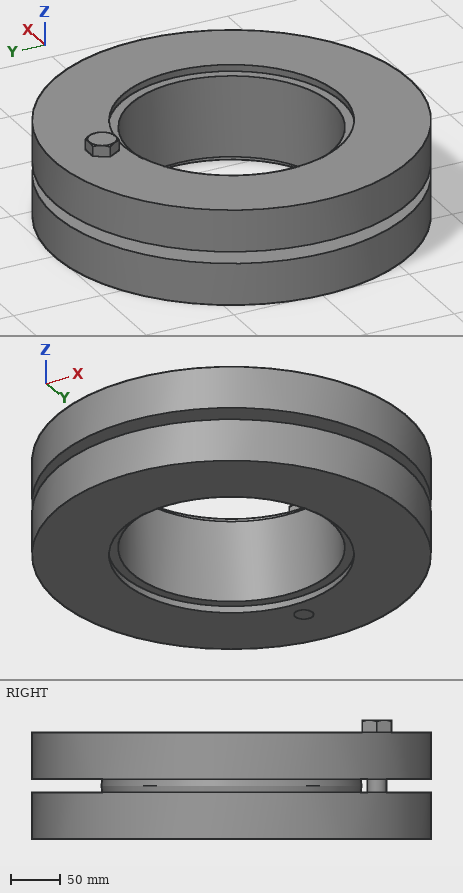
import cadquery as cq
import math

FLANGE_DIAMETER = 405.0
FLANGE_THICKNESS = 47.5
FLANGE_GAP = 13.5

RING_BORE_DIAMETER = 230.0
RING_MAX_DIAMETER = 264.5
RING_RECESS = 8.0
BORE_MOUTH_DIAMETER = 248.5

BOLT_OFFSET = 147.5
SHANK_DIAMETER = 20.0
HEAD_ACROSS_FLATS = 30.0
HEAD_HEIGHT = 12.5
HEAD_TOP_DIAMETER = HEAD_ACROSS_FLATS
HEAD_CHAMFER_ANGLE = 30.0

STACK_HEIGHT = 2 * FLANGE_THICKNESS + FLANGE_GAP
MID_HEIGHT = STACK_HEIGHT / 2
UPPER_FLANGE_BASE = FLANGE_THICKNESS + FLANGE_GAP
CONE_SLOPE = (RING_MAX_DIAMETER - BORE_MOUTH_DIAMETER) / 2 / MID_HEIGHT


def cone_radius(z):
    """Radius of the double seating cone at height z."""
    return RING_MAX_DIAMETER / 2 - CONE_SLOPE * abs(z - MID_HEIGHT)


def revolve_profile(points):
    """Turn a closed radius-height outline about the Z axis."""
    return cq.Workplane("XZ").polyline(points).close().revolve(360, (0, 0, 0), (0, 1, 0))


def make_shank():
    """Bolt shank, running through both flanges."""
    return cq.Workplane("XY").center(0, BOLT_OFFSET).circle(SHANK_DIAMETER / 2).extrude(STACK_HEIGHT)


def make_flange(base):
    """Flange with a conical bore and a hole that fits the bolt shank."""
    top = base + FLANGE_THICKNESS
    outer_radius = FLANGE_DIAMETER / 2
    disc = revolve_profile([
        (cone_radius(base), base),
        (outer_radius, base),
        (outer_radius, top),
        (cone_radius(top), top),
    ])
    return disc.cut(make_shank())


def make_seal_ring():
    """Ring with a straight bore and two outer cones that meet at mid height."""
    bottom = RING_RECESS
    top = STACK_HEIGHT - RING_RECESS
    bore_radius = RING_BORE_DIAMETER / 2
    return revolve_profile([
        (bore_radius, bottom),
        (cone_radius(bottom), bottom),
        (cone_radius(MID_HEIGHT), MID_HEIGHT),
        (cone_radius(top), top),
        (bore_radius, top),
    ])


def make_bolt():
    """Bolt whose hexagon head has its top corners chamfered by a cone."""
    across_corners = HEAD_ACROSS_FLATS / math.cos(math.pi / 6)
    head = (
        cq.Workplane("XY", origin=(0, BOLT_OFFSET, STACK_HEIGHT))
        .polygon(6, across_corners)
        .extrude(HEAD_HEIGHT)
    )
    corner_radius = across_corners / 2
    top_radius = HEAD_TOP_DIAMETER / 2
    chamfer_drop = (corner_radius - top_radius) * math.tan(math.radians(HEAD_CHAMFER_ANGLE))
    head_envelope = revolve_profile([
        (0, 0),
        (corner_radius, 0),
        (corner_radius, HEAD_HEIGHT - chamfer_drop),
        (top_radius, HEAD_HEIGHT),
        (0, HEAD_HEIGHT),
    ]).translate((0, BOLT_OFFSET, STACK_HEIGHT))
    return head.intersect(head_envelope).union(make_shank())


flanges = [make_flange(base) for base in (0, UPPER_FLANGE_BASE)]
seal_ring = make_seal_ring()
bolt = make_bolt()

result = cq.Compound.makeCompound([
    *[flange.solids().val() for flange in flanges],
    seal_ring.solids().val(),
    bolt.solids().val(),
])